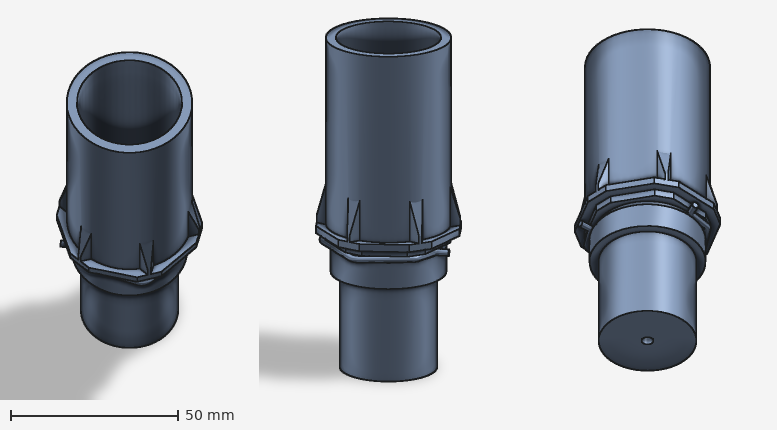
import cadquery as cq
import math

total_height = 103.3
lower_flange_bottom = 30.0
groove_bottom = 38.1
groove_height = 2.2
collar_height = 2.4
flange_thickness = 2.3
rib_knee_height = 2.3
rib_height = 12.5
groove_top = groove_bottom + groove_height
collar_top = groove_top + collar_height
flange_top = collar_top + flange_thickness

spigot_diameter = 29.2
spigot_radius = spigot_diameter / 2
lower_flange_radius = 17.4
groove_radius = 16.1
tube_diameter = 37.5
tube_radius = tube_diameter / 2
tube_bore_radius = 15.7

corner_count = 6
flange_width = 41.0
flange_side_distance = flange_width / 2
flange_corner_distance = 21.5
collar_side_distance = 17.7
collar_corner_distance = 18.7

rib_root_width = 4.2
rib_tip_width = 0.9

nozzle_base = flange_top
nozzle_top_radius = 8.3
nozzle_height = tube_bore_radius - nozzle_top_radius
mouth_radius = 7.1
mouth_depth = 1.0
funnel_radius = 6.4
funnel_throat_radius = 5.5
funnel_depth = 4.1
funnel_floor_depth = 1.3
through_hole_radius = 1.8

wire_radius = 1.0
clip_level = groove_top - wire_radius
clip_back = groove_radius + wire_radius
clip_peak = 18.7
clip_side_slope = math.tan(math.acos(clip_back / clip_peak))
clip_throat_x = -7.9
clip_end_x = -11.4
clip_end_y = 17.8
clip_bend_radius = 1.9
clip_back_bend_radius = 3.6
length_tolerance = 1.03e-06


def cut_corner_hexagon(side_distance, corner_distance, bottom, thickness):
    """Hexagonal plate with sides facing +/-X, its corners cut by a second hexagon facing +/-Y."""
    half_step = 180 / corner_count
    diameter_per_distance = 2 / math.cos(math.radians(half_step))
    blank = cq.Workplane("XY").workplane(offset=bottom)
    turned = blank.transformed(rotate=(0, 0, half_step))
    facing_x = turned.polygon(corner_count, side_distance * diameter_per_distance).extrude(thickness)
    facing_y = blank.polygon(corner_count, corner_distance * diameter_per_distance).extrude(thickness)
    return facing_x.intersect(facing_y)


def make_shell():
    """Round parts of the body, solid up to the nozzle base."""
    profile = [
        (0, 0),
        (spigot_radius, 0),
        (spigot_radius, lower_flange_bottom),
        (lower_flange_radius, lower_flange_bottom),
        (lower_flange_radius, groove_bottom),
        (groove_radius, groove_bottom),
        (groove_radius, flange_top),
        (tube_radius, flange_top),
        (tube_radius, total_height),
        (tube_bore_radius, total_height),
        (tube_bore_radius, nozzle_base),
        (nozzle_top_radius, nozzle_base + nozzle_height),
        (0, nozzle_base + nozzle_height),
    ]
    return cq.Workplane("XZ").polyline(profile).close().revolve(360, (0, 0), (0, 1))


def make_nozzle_bore():
    """Stepped funnel sunk into the nozzle, running into the small through hole."""
    top = nozzle_base + nozzle_height
    step = top - mouth_depth
    throat = step - funnel_depth
    floor = throat - funnel_floor_depth
    profile = [
        (0, 0),
        (through_hole_radius, 0),
        (through_hole_radius, floor),
        (funnel_throat_radius, throat),
        (funnel_radius, step),
        (mouth_radius, top),
        (0, top),
    ]
    return cq.Workplane("XZ").polyline(profile).close().revolve(360, (0, 0), (0, 1))


def make_rib():
    """Rib on the +Y side, narrowing outward, with a sloping outer face above its knee."""
    inner = (tube_radius + tube_bore_radius) / 2
    root = math.sqrt(tube_radius**2 - (rib_root_width / 2) ** 2)
    plan = [
        (-rib_root_width / 2, inner),
        (rib_root_width / 2, inner),
        (rib_root_width / 2, root),
        (rib_tip_width / 2, flange_corner_distance),
        (-rib_tip_width / 2, flange_corner_distance),
        (-rib_root_width / 2, root),
    ]
    side = [
        (inner, flange_top),
        (flange_corner_distance, flange_top),
        (flange_corner_distance, flange_top + rib_knee_height),
        (root, flange_top + rib_height),
        (inner, flange_top + rib_height),
    ]
    block = cq.Workplane("XY").workplane(offset=flange_top).polyline(plan).close().extrude(rib_height)
    slope = cq.Workplane("YZ").polyline(side).close().extrude(rib_root_width / 2, both=True)
    return block.intersect(slope)


def round_corners(wire, corner_xs, radius):
    """Rounds the corners of a flat wire that lie at the given X positions."""
    corners = [
        corner
        for corner in wire.Vertices()
        if any(math.isclose(corner.X, x, abs_tol=length_tolerance) for x in corner_xs)
    ]
    return wire.fillet2D(radius, corners)


def make_clip():
    """Bent wire: a straight back, two sides meeting the back and peaks at +/-Y, and flared ends."""
    half_path = [
        (clip_back, clip_peak - clip_back * clip_side_slope),
        (0, clip_peak),
        (clip_throat_x, clip_peak + clip_throat_x * clip_side_slope),
        (clip_end_x, clip_end_y),
    ]
    points = [(x, -y) for x, y in reversed(half_path)] + half_path
    edges = [
        cq.Edge.makeLine(cq.Vector(*start, clip_level), cq.Vector(*end, clip_level))
        for start, end in zip(points, points[1:])
    ]
    wire = cq.Wire.assembleEdges(edges)
    wire = round_corners(wire, [clip_back], clip_back_bend_radius)
    path = round_corners(wire, [0, clip_throat_x], clip_bend_radius)
    start = cq.Vector(*points[0], clip_level)
    heading = cq.Vector(*points[1], clip_level) - start
    section = cq.Workplane(cq.Plane(origin=start, normal=heading)).circle(wire_radius)
    return section.sweep(cq.Workplane(path))


def make_body(clip):
    """Tube, collar, ribbed flange and spigot in one piece, relieved wherever the clip lies."""
    body = make_shell()
    body = body.union(
        cut_corner_hexagon(collar_side_distance, collar_corner_distance, groove_top, collar_height)
    )
    body = body.union(
        cut_corner_hexagon(flange_side_distance, flange_corner_distance, collar_top, flange_thickness)
    )
    rib = make_rib()
    for index in range(corner_count):
        body = body.union(rib.rotate((0, 0, 0), (0, 0, 1), index * 360 / corner_count))
    return body.cut(make_nozzle_bore()).cut(clip)


clip = make_clip()
body = make_body(clip)
result = cq.Compound.makeCompound([body.val(), clip.val()])